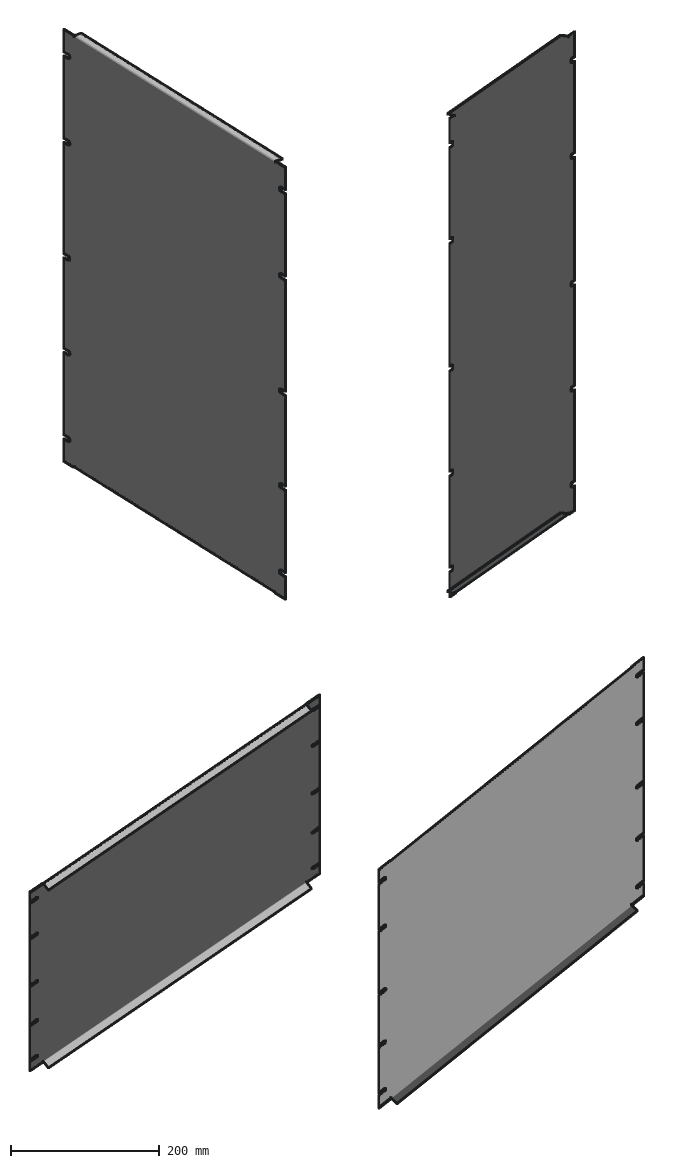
import cadquery as cq

panel_width = 482.6
panel_height = 665.94
sheet_thickness = 1.5

flange_depth = 12.7
flange_length = 438.15
inner_bend_radius = 0.8
outer_bend_radius = inner_bend_radius + sheet_thickness

rack_unit = 44.45
rack_hole_pitch = 12.7
slot_depth = 13.2
slot_height = 6.35
outer_slot_z = 6.5 * rack_unit + rack_hole_pitch / 2
inner_slot_z = outer_slot_z - 3 * rack_unit
middle_slot_z = inner_slot_z - 4 * rack_unit
slot_positions_z = [outer_slot_z, inner_slot_z, middle_slot_z, -inner_slot_z, -outer_slot_z]


def make_face():
    """Flat front sheet, centred on X and Z."""
    return cq.Workplane("XY").box(
        panel_width, sheet_thickness, panel_height, centered=(True, False, True)
    )


def make_top_flange():
    """Bent L-section lip along the top edge, drawn in YZ and extruded along X."""
    top = panel_height / 2
    lip = (
        cq.Workplane("YZ")
        .moveTo(0, top - outer_bend_radius)
        .radiusArc((outer_bend_radius, top), outer_bend_radius)
        .lineTo(flange_depth, top)
        .lineTo(flange_depth, top - sheet_thickness)
        .lineTo(outer_bend_radius, top - sheet_thickness)
        .radiusArc((sheet_thickness, top - outer_bend_radius), -inner_bend_radius)
        .close()
    )
    return lip.extrude(flange_length / 2, both=True)


def make_bend_clearance():
    """Strip of the flat face that the bend replaces along the top edge."""
    return (
        cq.Workplane("XY")
        .box(flange_length, sheet_thickness, outer_bend_radius, centered=(True, False, False))
        .translate((0, 0, panel_height / 2 - outer_bend_radius))
    )


def cut_slots(body):
    """Round-ended slots through the sheet, each running in from a side edge."""
    slot_centres = [
        (side * panel_width / 2, slot_z) for side in (-1, 1) for slot_z in slot_positions_z
    ]
    cutters = (
        cq.Workplane("XZ")
        .pushPoints(slot_centres)
        .slot2D(2 * slot_depth, slot_height)
        .extrude(-sheet_thickness)
    )
    return body.cut(cutters)


top_flange = make_top_flange()
bend_clearance = make_bend_clearance()
face = make_face().cut(bend_clearance).cut(bend_clearance.mirror("XY"))
panel = face.union(top_flange).union(top_flange.mirror("XY"))
result = cut_slots(panel)